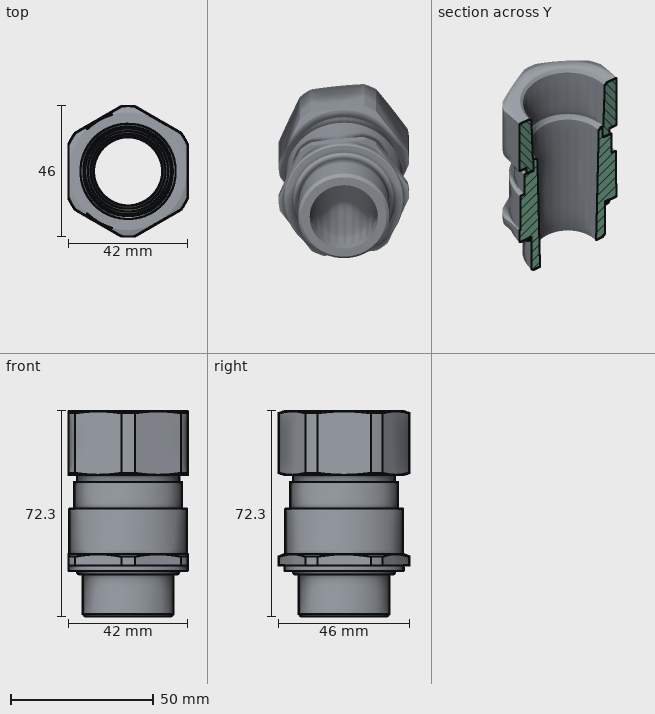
import cadquery as cq
import math

hex_sides = 6
across_flats = 42.0
corner_radius = 23.0

gasket_bottom = 14.75
flange_bottom = 16.0
hex_bottom = 18.0
hex_top = 22.0
collar_top = 38.0
neck_top = 47.25
nut_hex_bottom = 49.75
plug_top = 52.4
nut_top = 72.25

spigot_radius = 16.0
spigot_chamfer = 1.0
flange_radius = across_flats / 2
flange_fillet = 0.5
hex_chamfer_height = 0.95
hex_chamfer_radius = 20.75
collar_radius = 20.75
collar_fillet = 0.5
neck_radius = 19.0
passage_bottom_radius = 12.0
passage_top_radius = 13.15
passage_mouth_chamfer = 1.0

shank_radius = 18.0
nut_chamfer_height = 0.75
nut_chamfer_radius = 20.7
socket_mouth_radius = 16.75
socket_mouth_chamfer = 1.0
socket_top_radius = socket_mouth_radius - socket_mouth_chamfer
plug_radius = 15.1

gasket_radius = 18.0
gasket_height = flange_bottom - gasket_bottom


def revolve(outline):
    """Turn a closed (radius, height) outline about the Z axis."""
    return cq.Workplane("XZ").polyline(outline).close().revolve(360, (0, 0), (0, 1))


def hexagon(bottom, top):
    """Hexagonal prism with flats on +X and -X and corners on +Y and -Y."""
    half_corner_angle = 180 / hex_sides
    across_corners = across_flats / math.cos(math.radians(half_corner_angle))
    prism = cq.Workplane("XY", origin=(0, 0, bottom)).polygon(hex_sides, across_corners).extrude(top - bottom)
    return prism.rotate((0, 0, 0), (0, 0, 1), half_corner_angle)


def make_entry_body():
    hex_limit = revolve([
        (0, hex_bottom),
        (corner_radius, hex_bottom),
        (corner_radius, hex_top - hex_chamfer_height),
        (hex_chamfer_radius, hex_top),
        (0, hex_top),
    ])
    wrench_hex = hexagon(hex_bottom, hex_top).intersect(hex_limit)

    turned_outline = (
        cq.Workplane("XZ")
        .lineTo(spigot_radius - spigot_chamfer, 0)
        .lineTo(spigot_radius, spigot_chamfer)
        .lineTo(spigot_radius, flange_bottom)
        .lineTo(flange_radius - flange_fillet, flange_bottom)
        .tangentArcPoint((flange_radius, flange_bottom + flange_fillet), relative=False)
        .lineTo(flange_radius, hex_bottom)
        .lineTo(collar_radius, hex_bottom)
        .lineTo(collar_radius, collar_top - collar_fillet)
        .tangentArcPoint((collar_radius - collar_fillet, collar_top), relative=False)
        .lineTo(neck_radius, collar_top)
        .lineTo(neck_radius, neck_top)
        .lineTo(plug_radius, neck_top)
        .lineTo(plug_radius, plug_top)
        .lineTo(0, plug_top)
        .close()
    )
    turned = turned_outline.revolve(360, (0, 0), (0, 1))

    passage = revolve([
        (0, 0),
        (passage_bottom_radius, 0),
        (passage_top_radius, plug_top - passage_mouth_chamfer),
        (passage_top_radius + passage_mouth_chamfer, plug_top),
        (0, plug_top),
    ])
    return turned.union(wrench_hex).cut(passage)


def make_backnut():
    hex_limit = revolve([
        (0, nut_hex_bottom),
        (nut_chamfer_radius, nut_hex_bottom),
        (corner_radius, nut_hex_bottom + nut_chamfer_height),
        (corner_radius, nut_top - nut_chamfer_height),
        (nut_chamfer_radius, nut_top),
        (0, nut_top),
    ])
    wrench_hex = hexagon(nut_hex_bottom, nut_top).intersect(hex_limit)

    shank_height = nut_hex_bottom - neck_top
    shank = cq.Workplane("XY", origin=(0, 0, neck_top)).circle(shank_radius).extrude(shank_height)

    socket = revolve([
        (0, neck_top),
        (plug_radius, neck_top),
        (plug_radius, plug_top),
        (socket_top_radius, nut_top - socket_mouth_chamfer),
        (socket_mouth_radius, nut_top),
        (0, nut_top),
    ])
    return wrench_hex.union(shank).cut(socket)


def make_gasket():
    outline = (
        cq.Workplane("XZ", origin=(0, 0, gasket_bottom))
        .moveTo(spigot_radius, 0)
        .lineTo(gasket_radius - gasket_height, 0)
        .tangentArcPoint((gasket_radius, gasket_height), relative=False)
        .lineTo(spigot_radius, gasket_height)
        .close()
    )
    return outline.revolve(360, (0, 0), (0, 1))


entry_body = make_entry_body()
backnut = make_backnut()
gasket = make_gasket()

result = cq.Compound.makeCompound([entry_body.val(), backnut.val(), gasket.val()])